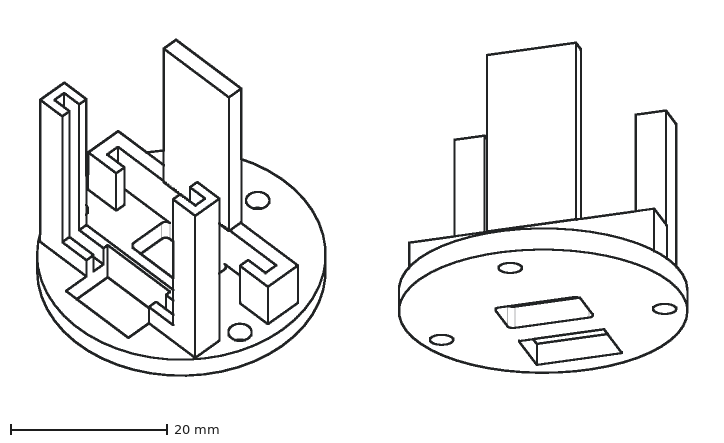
import cadquery as cq

disc_diameter = 37.0
disc_thickness = 3.0
hole_diameter = 3.0
rear_hole_y = 13.65
side_hole_x = 15.02
side_hole_y = -4.15

bracket_half_width = 16.5
bracket_rear_y = 4.77
bracket_front_y = -0.6
bracket_top_z = 10.0
bracket_wall = 1.95
lip_thickness = 1.48
lip_end_x = 11.35

plate_width = 12.0
plate_thickness = 2.22
plate_rear_y = 4.9
plate_top_z = 35.0

frame_half_width = 14.25
frame_rear_y = -7.05
frame_front_y = -11.4
tower_inner_x = 10.18
tower_top_z = 29.55
sill_top_z = 6.03
slot_half_length = 12.95
slot_rear_y = -8.35
slot_front_y = -10.1

window_half_width = 5.75
rear_window_front_y = -3.63
rear_window_corner_radius = 0.75
front_window_rear_y = -7.6
front_window_front_y = -15.05


def block(x_min, x_max, y_min, y_max, z_min, z_max):
    """Box given by its limits along each axis."""
    size = (x_max - x_min, y_max - y_min, z_max - z_min)
    return cq.Workplane("XY").box(*size, centered=False).translate((x_min, y_min, z_min))


def centered_block(half_width, y_min, y_max, z_min, z_max):
    """Box that is symmetric about the YZ plane."""
    return block(-half_width, half_width, y_min, y_max, z_min, z_max)


def make_disc():
    hole_centers = [(0, rear_hole_y), (-side_hole_x, side_hole_y), (side_hole_x, side_hole_y)]
    disc = cq.Workplane("XY").circle(disc_diameter / 2).extrude(disc_thickness)
    holes = cq.Workplane("XY").pushPoints(hole_centers).circle(hole_diameter / 2).extrude(disc_thickness)
    return disc.cut(holes)


def make_bracket():
    wall_front_y = bracket_rear_y - bracket_wall
    lip_rear_y = bracket_front_y + lip_thickness
    inner_half_width = bracket_half_width - bracket_wall
    heights = (disc_thickness, bracket_top_z)
    body = centered_block(bracket_half_width, bracket_front_y, bracket_rear_y, *heights)
    channel = centered_block(inner_half_width, lip_rear_y, wall_front_y, *heights)
    opening = centered_block(lip_end_x, bracket_front_y, lip_rear_y, *heights)
    return body.cut(channel).cut(opening)


def make_plate():
    plate_front_y = plate_rear_y - plate_thickness
    return centered_block(plate_width / 2, plate_front_y, plate_rear_y, bracket_top_z, plate_top_z)


def make_frame():
    body = centered_block(frame_half_width, frame_front_y, frame_rear_y, disc_thickness, tower_top_z)
    gap = centered_block(tower_inner_x, frame_front_y, frame_rear_y, sill_top_z, tower_top_z)
    slot = centered_block(slot_half_length, slot_front_y, slot_rear_y, disc_thickness, tower_top_z)
    return body.cut(gap).cut(slot)


def make_rear_window():
    wall_front_y = bracket_rear_y - bracket_wall
    window = centered_block(window_half_width, rear_window_front_y, wall_front_y, 0, disc_thickness)
    return window.edges("|Z").fillet(rear_window_corner_radius)


def make_front_window():
    """Opening that also cuts through the front of the sill."""
    return centered_block(window_half_width, front_window_front_y, front_window_rear_y, 0, sill_top_z)


result = (
    make_disc()
    .union(make_bracket())
    .union(make_plate())
    .union(make_frame())
    .cut(make_rear_window())
    .cut(make_front_window())
)